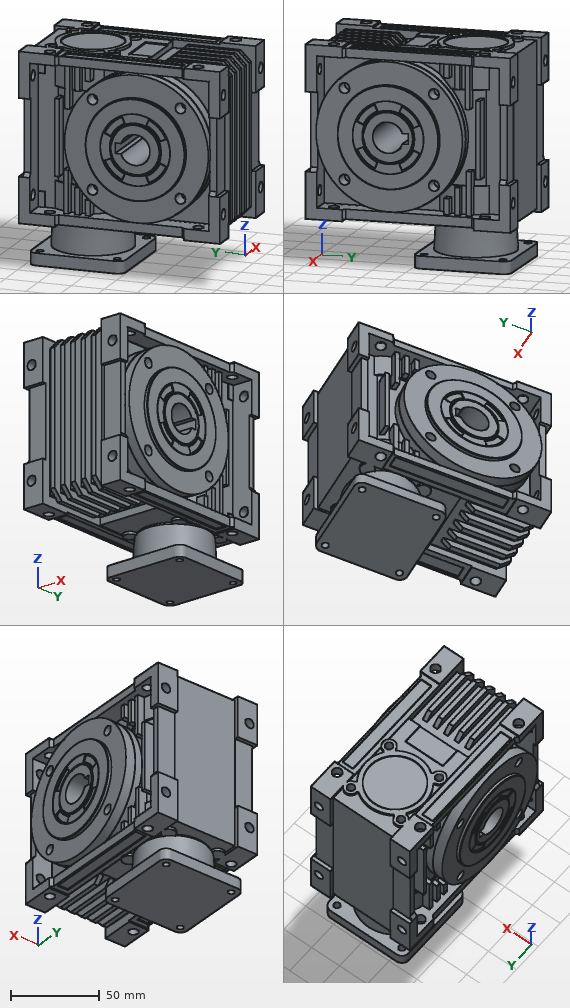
import cadquery as cq
import math


FOOT_X = 35.7
FRAME_X = 33.8
BODY_X = 21.6
FRONT_Y = -50.0
REAR_Y = 71.5
TOP_Z = 50.0
BOTTOM_Z = -51.0
FOOT_LENGTH_Y = 21.7
FOOT_LENGTH_Z = 27.4
FRAME_DROP_Y = 2.5
FRAME_DROP_Z = 1.0
FOOT_RAMP_Y = 1.7
FOOT_RAMP_Z = 2.5

WINDOW_FRONT_Y = -43.3
WINDOW_REAR_Y = 64.9
WINDOW_TOP_Z = 43.7
WINDOW_BOTTOM_Z = -44.2

ROOF_DROP = 0.6
BODY_REAR_Y = 68.8
STEP_Y = 0.0
FIN_FLOOR_Y = -43.8
FIN_FLOOR_TOP_Z = 44.2
FIN_FLOOR_BOTTOM_Z = -44.7

FIN_COUNT = 5
FIN_PITCH = 7.6
FIN_WIDTH = 3.0
FIN_FRONT_Y = -49.1
FIN_TOP_Z = 48.5
FIN_BOTTOM_Z = -49.5
FIN_CHAMFER = 6.5
FIN_RAMP_START_Y = -6.5
FIN_RAMP_END_Y = -11.3

LABEL_WIDTH = 26.9
LABEL_REAR_Y = 13.3
PANEL_INNER_X = 25.0
PANEL_OUTER_X = 32.4
PANEL_FRONT_Y = -24.9
PANEL_REAR_Y = 46.6
PANEL_DEPTH = 0.8

FOOT_HOLE_DIAMETER = 6.1
FOOT_HOLE_X = 30.0
FOOT_HOLE_FRONT_Y = -34.9
FOOT_HOLE_REAR_Y = 54.7
FOOT_HOLE_Z = 35.0

WORM_Y = 39.9
BARREL_END_RADIUS = 26.2
BARREL_MID_RADIUS = 25.1
BARREL_MID_HALF_HEIGHT = 27.8
COVER_RADIUS = 21.6
COVER_RECESS_RADIUS = 18.3
COVER_RECESS_DEPTH = 0.8
EAR_CIRCLE_RADIUS = 25.1
EAR_RADIUS = 4.5
EAR_HOLE_DIAMETER = 4.8
EAR_HOLE_DEPTH = 7.6
EAR_COUNT = 4
EAR_START_ANGLE = 46
EAR_FILLET = 0.9

RIB_X = 30.0
RIBS = [
    (42.9, 45.7, 17.4, WINDOW_TOP_Z),
    (36.7, 39.8, 28.5, WINDOW_TOP_Z),
    (30.4, 33.4, 34.8, WINDOW_TOP_Z),
    (49.3, 51.8, -22.9, 22.7),
    (43.5, 46.5, WINDOW_BOTTOM_Z, -18.5),
    (36.7, 39.8, WINDOW_BOTTOM_Z, -28.2),
    (30.4, 33.4, WINDOW_BOTTOM_Z, -34.9),
]
PAD_X = 22.1
PAD_WIDTH = 4.1
PAD_HEIGHT = 9.3

FLANGE_RADIUS = 43.4
FLANGE_X = 36.7
FLANGE_BACK_X = 30.0
FLANGE_SEAT_RADIUS = 43.2
SPIGOT_RADIUS = 30.1
SPIGOT_X = 39.0
SPIGOT_CHAMFER = 0.4
BOLT_OFFSET = 26.5
BOLT_DIAMETER = 6.1
BOLT_DEPTH = 10.2
SEAL_RADIUS = 21.1
SEAL_DEPTH = 0.4
SLOT_OUTER_RADIUS = 20.2
SLOT_INNER_RADIUS = 16.1
SLOT_ANGLES = (45, 135, 225, 315)
SLOT_HALF_ANGLE = 21.5
SLOT_DEPTH = 0.8
SHAFT_RADIUS = 14.6
SHAFT_GAP = 0.9
SHAFT_GAP_DEPTH = 1.3
BORE_DIAMETER = 18.0
KEYWAY_WIDTH = 6.1
KEYWAY_REACH = 12.0

NECK_TOP_RADIUS = 22.9
NECK_BOTTOM_RADIUS = 23.9
MOTOR_FLANGE_TOP_Z = -69.6
MOTOR_FLANGE_BOTTOM_Z = -77.0
MOTOR_FLANGE_SIZE = 57.2
MOTOR_FLANGE_CORNER = 4.8
MOTOR_HOLE_OFFSET = 23.4
MOTOR_HOLE_DIAMETER = 4.1

FRAME_TOP_Z = TOP_Z - FRAME_DROP_Z
FRAME_BOTTOM_Z = BOTTOM_Z + FRAME_DROP_Z
ROOF_Z = FRAME_TOP_Z - ROOF_DROP
FLOOR_Z = FRAME_BOTTOM_Z + ROOF_DROP


def box(x0, x1, y0, y1, z0, z1):
    size = (x1 - x0, y1 - y0, z1 - z0)
    return cq.Workplane().box(*size, centered=False).translate((x0, y0, z0))


def disc_x(radius, x0, x1):
    """Cylinder on the output axis."""
    return cq.Workplane("YZ", origin=(x0, 0, 0)).circle(radius).extrude(x1 - x0)


def disc_z(radius, z0, z1):
    """Cylinder on the worm axis."""
    return cq.Workplane(origin=(0, WORM_Y, z0)).circle(radius).extrude(z1 - z0)


def both_sides(solid):
    return solid.union(solid.mirror("YZ"))


def ramp_outline(start, length):
    """Section of a slope from the foot face to the frame face."""
    end = start + length
    return [(BODY_X, start), (FOOT_X, start), (FRAME_X, end), (BODY_X, end)]


def foot(y_end, y_dir, z_end, z_dir, ramp_z):
    """Corner block whose outer X face slopes down to the frame."""
    y_inner = y_end + y_dir * FOOT_LENGTH_Y
    z_inner = z_end + z_dir * FOOT_LENGTH_Z
    block = box(BODY_X, FOOT_X, min(y_end, y_inner), max(y_end, y_inner),
                min(z_end, z_inner), max(z_end, z_inner))
    y_face = y_end + y_dir * FRAME_DROP_Y
    z_face = z_end + z_dir * FRAME_DROP_Z
    y_slope = (
        cq.Workplane("XY", origin=(0, 0, z_face))
        .polyline(ramp_outline(y_inner, y_dir * FOOT_RAMP_Y))
        .close().extrude(z_inner - z_face)
    )
    block = block.union(y_slope)
    if ramp_z > 0:
        z_slope = (
            cq.Workplane("XZ", origin=(0, y_face, 0))
            .polyline(ramp_outline(z_inner, z_dir * ramp_z))
            .close().extrude(y_face - y_inner)
        )
        block = block.union(z_slope)
    return block


def side_frame():
    frame = box(BODY_X, FRAME_X, FRONT_Y + FRAME_DROP_Y, REAR_Y - FRAME_DROP_Y,
                FRAME_BOTTOM_Z, FRAME_TOP_Z)
    for y_end, y_dir in ((FRONT_Y, 1), (REAR_Y, -1)):
        for z_end, z_dir, ramp_z in ((BOTTOM_Z, 1, FOOT_RAMP_Z), (TOP_Z, -1, 0)):
            frame = frame.union(foot(y_end, y_dir, z_end, z_dir, ramp_z))
    frame = frame.cut(box(BODY_X, FOOT_X, WINDOW_FRONT_Y, WINDOW_REAR_Y, WINDOW_BOTTOM_Z, WINDOW_TOP_Z))
    for z0 in (FRAME_TOP_Z - PANEL_DEPTH, FRAME_BOTTOM_Z):
        frame = frame.cut(box(PANEL_INNER_X, PANEL_OUTER_X, PANEL_FRONT_Y, PANEL_REAR_Y,
                              z0, z0 + PANEL_DEPTH))
    return frame


def central_body():
    rear = box(-BODY_X, BODY_X, STEP_Y, BODY_REAR_Y, FLOOR_Z, ROOF_Z)
    front = box(-BODY_X, BODY_X, FIN_FLOOR_Y, STEP_Y, FIN_FLOOR_BOTTOM_Z, FIN_FLOOR_TOP_Z)
    label = box(-LABEL_WIDTH / 2, LABEL_WIDTH / 2, STEP_Y, LABEL_REAR_Y, ROOF_Z - PANEL_DEPTH, ROOF_Z)
    return rear.union(front).cut(label)


def fins():
    """Fins wrapping the top, front and bottom of the front part."""
    outline = [
        (FIN_RAMP_START_Y, FIN_FLOOR_TOP_Z),
        (FIN_RAMP_END_Y, FIN_TOP_Z),
        (FIN_FRONT_Y + FIN_CHAMFER, FIN_TOP_Z),
        (FIN_FRONT_Y, FIN_TOP_Z - FIN_CHAMFER),
        (FIN_FRONT_Y, FIN_BOTTOM_Z + FIN_CHAMFER),
        (FIN_FRONT_Y + FIN_CHAMFER, FIN_BOTTOM_Z),
        (FIN_RAMP_END_Y, FIN_BOTTOM_Z),
        (FIN_RAMP_START_Y, FIN_FLOOR_BOTTOM_Z),
    ]
    fin = cq.Workplane("YZ").polyline(outline).close().extrude(FIN_WIDTH / 2, both=True)
    first_x = -FIN_PITCH * (FIN_COUNT - 1) / 2
    row = cq.Workplane()
    for i in range(FIN_COUNT):
        row = row.union(fin.translate((first_x + i * FIN_PITCH, 0, 0)))
    return row


def worm_barrel():
    ends = disc_z(BARREL_END_RADIUS, WINDOW_BOTTOM_Z, WINDOW_TOP_Z)
    waist = disc_z(BARREL_END_RADIUS, -BARREL_MID_HALF_HEIGHT, BARREL_MID_HALF_HEIGHT)
    return ends.cut(waist).union(disc_z(BARREL_MID_RADIUS, WINDOW_BOTTOM_Z, WINDOW_TOP_Z))


def side_ribs():
    ribs = cq.Workplane()
    for y0, y1, z0, z1 in RIBS:
        ribs = ribs.union(box(0, RIB_X, y0, y1, z0, z1))
    for z0 in (WINDOW_BOTTOM_Z, WINDOW_TOP_Z - PAD_HEIGHT):
        ribs = ribs.union(box(0, PAD_X, WINDOW_REAR_Y - PAD_WIDTH, WINDOW_REAR_Y, z0, z0 + PAD_HEIGHT))
    return ribs


def ear_centres(plane):
    return plane.polarArray(EAR_CIRCLE_RADIUS, EAR_START_ANGLE, 360, EAR_COUNT)


def cover(z0, z1):
    """Bearing cover ring with four screw ears."""
    ears = ear_centres(cq.Workplane(origin=(0, WORM_Y, z0))).circle(EAR_RADIUS).extrude(z1 - z0)
    return disc_z(COVER_RADIUS, z0, z1).union(ears).edges("|Z").fillet(EAR_FILLET)


def top_cover_cuts():
    """Shallow round recess and screw holes of the top cover."""
    top_plane = cq.Workplane(origin=(0, WORM_Y, TOP_Z))
    holes = ear_centres(top_plane).circle(EAR_HOLE_DIAMETER / 2).extrude(-EAR_HOLE_DEPTH)
    return holes.union(disc_z(COVER_RECESS_RADIUS, TOP_Z - COVER_RECESS_DEPTH, TOP_Z))


def output_flange():
    flange = (
        disc_x(FLANGE_SEAT_RADIUS, 0, FLANGE_BACK_X)
        .union(disc_x(FLANGE_RADIUS, FLANGE_BACK_X, FLANGE_X))
        .union(disc_x(SPIGOT_RADIUS, FLANGE_X, SPIGOT_X).faces(">X").chamfer(SPIGOT_CHAMFER))
    )
    bolts = (
        cq.Workplane("YZ", origin=(FLANGE_X - BOLT_DEPTH, 0, 0))
        .rect(2 * BOLT_OFFSET, 2 * BOLT_OFFSET, forConstruction=True).vertices()
        .circle(BOLT_DIAMETER / 2).extrude(BOLT_DEPTH)
    )
    return flange.cut(bolts)


def polar(radius, angle):
    return (radius * math.cos(math.radians(angle)), radius * math.sin(math.radians(angle)))


def seal_slot(angle):
    """Curved pocket in the seal face, centred on the given angle."""
    start = angle - SLOT_HALF_ANGLE
    end = angle + SLOT_HALF_ANGLE
    face_x = SPIGOT_X - SEAL_DEPTH
    return (
        cq.Workplane("YZ", origin=(face_x - SLOT_DEPTH, 0, 0))
        .moveTo(*polar(SLOT_INNER_RADIUS, start))
        .lineTo(*polar(SLOT_OUTER_RADIUS, start))
        .threePointArc(polar(SLOT_OUTER_RADIUS, angle), polar(SLOT_OUTER_RADIUS, end))
        .lineTo(*polar(SLOT_INNER_RADIUS, end))
        .threePointArc(polar(SLOT_INNER_RADIUS, angle), polar(SLOT_INNER_RADIUS, start))
        .close().extrude(SLOT_DEPTH)
    )


def seal_recess():
    """Material removed around the hollow shaft end on one side."""
    gap_radius = SHAFT_RADIUS + SHAFT_GAP
    recess = disc_x(SEAL_RADIUS, SPIGOT_X - SEAL_DEPTH, SPIGOT_X)
    recess = recess.union(disc_x(gap_radius, SPIGOT_X - SHAFT_GAP_DEPTH, SPIGOT_X))
    recess = recess.cut(disc_x(SHAFT_RADIUS, SPIGOT_X - SHAFT_GAP_DEPTH, SPIGOT_X))
    for angle in SLOT_ANGLES:
        recess = recess.union(seal_slot(angle))
    return recess


def shaft_bore():
    key = box(-SPIGOT_X, SPIGOT_X, 0, KEYWAY_REACH, -KEYWAY_WIDTH / 2, KEYWAY_WIDTH / 2)
    return disc_x(BORE_DIAMETER / 2, -SPIGOT_X, SPIGOT_X).union(key)


def motor_mount():
    neck = (
        cq.Workplane(origin=(0, WORM_Y, MOTOR_FLANGE_TOP_Z)).circle(NECK_BOTTOM_RADIUS)
        .workplane(offset=BOTTOM_Z - MOTOR_FLANGE_TOP_Z).circle(NECK_TOP_RADIUS).loft()
    )
    thickness = MOTOR_FLANGE_TOP_Z - MOTOR_FLANGE_BOTTOM_Z
    plate = (
        cq.Workplane(origin=(0, WORM_Y, MOTOR_FLANGE_BOTTOM_Z))
        .rect(MOTOR_FLANGE_SIZE, MOTOR_FLANGE_SIZE).extrude(thickness)
        .edges("|Z").fillet(MOTOR_FLANGE_CORNER)
        .faces(">Z").workplane()
        .rect(2 * MOTOR_HOLE_OFFSET, 2 * MOTOR_HOLE_OFFSET, forConstruction=True).vertices()
        .hole(MOTOR_HOLE_DIAMETER)
    )
    return neck.union(plate)


def foot_holes():
    """Holes through every foot into the windows, for the top, bottom, front and rear walls."""
    radius = FOOT_HOLE_DIAMETER / 2
    holes = cq.Workplane()
    for y in (FOOT_HOLE_FRONT_Y, FOOT_HOLE_REAR_Y):
        for z0, z1 in ((BOTTOM_Z, WINDOW_BOTTOM_Z), (WINDOW_TOP_Z, TOP_Z)):
            holes = holes.union(cq.Workplane(origin=(FOOT_HOLE_X, y, z0)).circle(radius).extrude(z1 - z0))
    for z in (-FOOT_HOLE_Z, FOOT_HOLE_Z):
        for y0, y1 in ((FRONT_Y, WINDOW_FRONT_Y), (WINDOW_REAR_Y, REAR_Y)):
            plane = cq.Workplane("XZ", origin=(FOOT_HOLE_X, y0, z))
            holes = holes.union(plane.circle(radius).extrude(y0 - y1))
    return both_sides(holes)


result = (
    central_body()
    .union(fins())
    .union(both_sides(side_frame().cut(foot_holes())))
    .union(worm_barrel())
    .union(both_sides(side_ribs()))
    .union(cover(ROOF_Z, TOP_Z))
    .union(cover(BOTTOM_Z, FLOOR_Z))
    .union(motor_mount())
    .union(both_sides(output_flange()))
)
result = result.cut(top_cover_cuts()).cut(both_sides(seal_recess())).cut(shaft_bore())